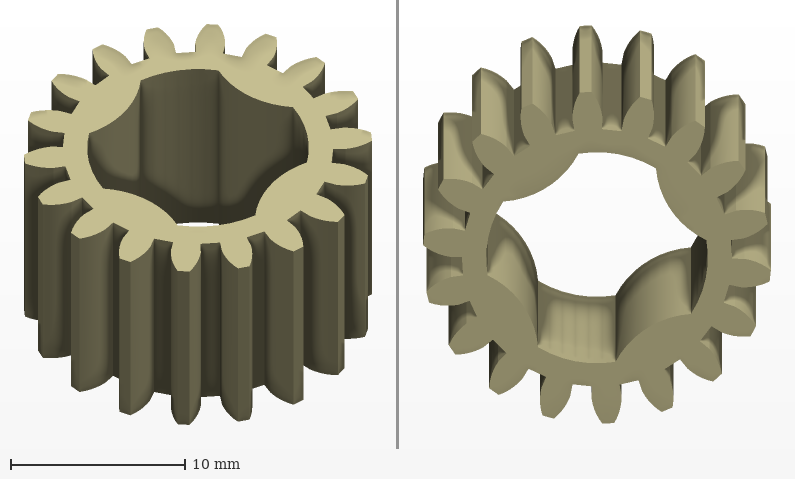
import cadquery as cq
import math

tooth_count = 18
tip_face_distance = 10.0
addendum_factor = 1.0
dedendum_factor = 1.25
pressure_angle = math.radians(20)
gear_height = 12.5

bore_radius = 6.35
lobe_count = 4
lobe_tip_distance = 5.12
lobe_half_width = 2.6


def involute(angle):
    return math.tan(angle) - angle


pitch_angle = 2 * math.pi / tooth_count
pitch_half_angle = pitch_angle / 4
base_half_angle = pitch_half_angle + involute(pressure_angle)
tip_pressure_angle = math.acos(math.cos(pressure_angle) * tooth_count / (tooth_count + 2 * addendum_factor))
tip_half_angle = base_half_angle - involute(tip_pressure_angle)

tip_radius = tip_face_distance / math.cos(tip_half_angle)
module = 2 * tip_radius / (tooth_count + 2 * addendum_factor)
pitch_radius = module * tooth_count / 2
base_radius = pitch_radius * math.cos(pressure_angle)
root_radius = pitch_radius - dedendum_factor * module


def polar(radius, angle):
    return (radius * math.cos(angle), radius * math.sin(angle))


def make_gear_blank():
    """Toothed body with flat tips and roots; flanks are arcs above the base circle. One tooth is on +X."""
    outline = cq.Workplane("XY").moveTo(*polar(root_radius, -base_half_angle))
    for i in range(tooth_count):
        centre = i * pitch_angle
        rising_base = polar(base_radius, centre - base_half_angle)
        rising_pitch = polar(pitch_radius, centre - pitch_half_angle)
        rising_tip = polar(tip_radius, centre - tip_half_angle)
        falling_tip = polar(tip_radius, centre + tip_half_angle)
        falling_pitch = polar(pitch_radius, centre + pitch_half_angle)
        falling_base = polar(base_radius, centre + base_half_angle)
        falling_root = polar(root_radius, centre + base_half_angle)
        outline = outline.lineTo(*rising_base)
        outline = outline.threePointArc(rising_pitch, rising_tip)
        outline = outline.lineTo(*falling_tip)
        outline = outline.threePointArc(falling_pitch, falling_base)
        outline = outline.lineTo(*falling_root)
        if i < tooth_count - 1:
            outline = outline.lineTo(*polar(root_radius, centre + pitch_angle - base_half_angle))
    return outline.close().extrude(gear_height)


def make_bore():
    """Through bore: arcs on the bore circle alternating with arcs that bulge inward."""
    lobe_angle = 2 * math.pi / lobe_count
    lobe_half_angle = math.asin(lobe_half_width / bore_radius)
    outline = cq.Workplane("XY").moveTo(*polar(bore_radius, -lobe_half_angle))
    for i in range(lobe_count):
        centre = i * lobe_angle
        lobe_end = polar(bore_radius, centre + lobe_half_angle)
        next_lobe = polar(bore_radius, centre + lobe_angle - lobe_half_angle)
        outline = outline.threePointArc(polar(lobe_tip_distance, centre), lobe_end)
        outline = outline.threePointArc(polar(bore_radius, centre + lobe_angle / 2), next_lobe)
    return outline.close().extrude(gear_height)


result = make_gear_blank().cut(make_bore())